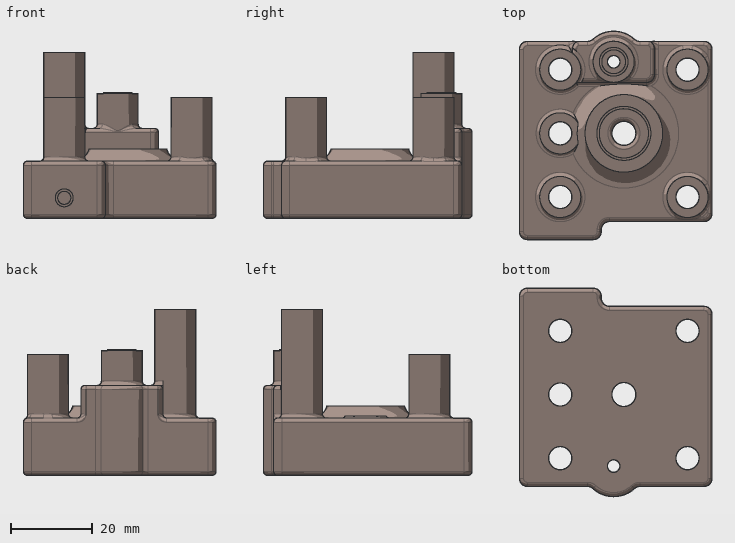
import cadquery as cq
import math

plate_left = -25.5
plate_right = 21.5
plate_front = -25.95
plate_back = 22.45
step_front = -plate_right
foot_right = -5.5
plate_top = 14.0
corner_radius = 2.0
edge_radius = 1.0

pillar_spacing = 31.05
pillar_offset = pillar_spacing / 2
pillar_diameter = 10.0
pillar_hole_diameter = 5.6
short_pillars = [
    (pillar_offset, pillar_offset),
    (pillar_offset, -pillar_offset),
    (-pillar_offset, -pillar_offset),
]
tall_pillar_xy = (-pillar_offset, pillar_offset)
low_seat_xy = (-pillar_offset, 0)
short_pillar_top = 29.5
tall_pillar_top = 40.5
low_seat_height = 0.5

hub_top = 17.0
hub_top_diameter = 18.9
hub_flare_radius = 4.0
hub_bore_diameter = 13.2
hub_bore_depth = 4.5
hub_inner_diameter = 12.0
hub_inner_depth = 7.65
hub_hole_diameter = 5.8

port_x = -2.5
port_y = 17.45
port_top = 30.4
port_lip_top = 30.7
port_lip_diameter = 7.0
port_bore_diameter = 5.8
port_bore_depth = 10.15
port_hole_diameter = 3.0
bulge_radius = 7.5
pad_top = 22.0
pad_right = 7.5
port_margin = 0.05
pad_front = port_y - pillar_diameter / 2 - port_margin
pad_left = -12.5
pad_overrun = 0.15

gallery_z = 5.05
gallery_mouth_diameter = 4.4
gallery_mouth_depth = 5.1
gallery_diameter = 3.2
gallery_depth = 6.6

tolerance = 0.0005


def block(left, right, front, back, bottom, top):
    """Axis-aligned block between the given limits."""
    return (
        cq.Workplane("XY", origin=(left, front, bottom))
        .box(right - left, back - front, top - bottom, centered=False)
    )


def cylinder(x, y, diameter, bottom, top):
    """Upright cylinder between two heights."""
    return (
        cq.Workplane("XY", origin=(x, y, bottom))
        .circle(diameter / 2)
        .extrude(top - bottom)
    )


def flared_foot(x, y, top_diameter, bottom, height, flare):
    """Round foot with a concave side of radius flare that runs out level into the floor."""
    radius = top_diameter / 2
    reach = math.sqrt(2 * flare * height - height ** 2)
    rim = radius + reach
    half_angle = math.asin(reach / flare) / 2
    mid = (rim - flare * math.sin(half_angle), bottom + flare * (1 - math.cos(half_angle)))
    root = bottom - edge_radius
    profile = (
        cq.Workplane("XZ", origin=(x, y, 0))
        .moveTo(0, root)
        .lineTo(rim, root)
        .lineTo(rim, bottom)
        .threePointArc(mid, (radius, bottom + height))
        .lineTo(0, bottom + height)
        .close()
    )
    return profile.revolve(360, (0, 0, 0), (0, 1, 0))


def bulge(top):
    """Round bulge on the back face, blended into it by concave fillets, from z = 0 to top."""
    blend_y = plate_back + corner_radius
    rise = blend_y - port_y
    reach = math.sqrt((bulge_radius + corner_radius) ** 2 - rise ** 2)
    share = bulge_radius / (bulge_radius + corner_radius)
    tangent_x = reach * share
    tangent_y = port_y + rise * share
    turn = math.atan2(reach, rise) / 2
    mid_x = reach - corner_radius * math.sin(turn)
    mid_y = blend_y - corner_radius * math.cos(turn)
    return (
        cq.Workplane("XY")
        .moveTo(port_x - reach, pad_front + corner_radius)
        .lineTo(port_x - reach, plate_back)
        .threePointArc((port_x - mid_x, mid_y), (port_x - tangent_x, tangent_y))
        .threePointArc((port_x, port_y + bulge_radius), (port_x + tangent_x, tangent_y))
        .threePointArc((port_x + mid_x, mid_y), (port_x + reach, plate_back))
        .lineTo(port_x + reach, pad_front + corner_radius)
        .close()
        .extrude(top)
    )


def plate_blank():
    """Stepped plate with rounded upright corners."""
    outline = [
        (plate_left, plate_front),
        (foot_right, plate_front),
        (foot_right, step_front),
        (plate_right, step_front),
        (plate_right, plate_back),
        (plate_left, plate_back),
    ]
    plate = cq.Workplane("XY").polyline(outline).close().extrude(plate_top)
    return plate.edges("|Z").fillet(corner_radius)


def pad_blank(bottom, top):
    """Pad block with rounded upright corners; the square front left one lies in the tall pillar.

    The corners are rounded slightly beyond the back face and trimmed there, so that they meet it
    at an angle and their foot can be filleted.
    """
    pad = block(pad_left, pad_right, pad_front, plate_back + pad_overrun, bottom, top)
    pad = pad.edges("|Z and (>X or >Y)").fillet(corner_radius)
    return pad.intersect(block(pad_left, pad_right, pad_front, plate_back, bottom, top))


def is_level(edge, *heights):
    """True when the edge lies flat at one of the given heights."""
    box = edge.BoundingBox()
    return box.zlen < tolerance and any(abs(box.zmin - z) < tolerance for z in heights)


def rolled_body():
    """Plate, pad and bulge with every level edge rolled and the foot of the pad filleted."""
    body = (
        plate_blank()
        .union(pad_blank(plate_top / 2, pad_top))
        .union(bulge(pad_top))
    )
    level = [e for e in body.edges().vals() if is_level(e, 0, plate_top, pad_top)]
    return body.newObject(level).fillet(edge_radius)


def add_pillar(body, x, y, floor, top):
    """Pillar on a flat floor, with a fillet that blends into any rolled edge it meets."""
    radius = pillar_diameter / 2
    body = body.union(cylinder(x, y, pillar_diameter, floor - edge_radius, top))

    def on_pillar(point):
        return abs(math.hypot(point.x - x, point.y - y) - radius) < tolerance

    root = [
        e for e in body.edges().vals()
        if is_level(e, floor) and on_pillar(e.startPoint()) and on_pillar(e.endPoint())
    ]
    return body.newObject(root).fillet(edge_radius)


result = rolled_body()
result = add_pillar(result, port_x, port_y, pad_top, port_top)
for x, y in short_pillars:
    result = add_pillar(result, x, y, plate_top, short_pillar_top)

tall_pillar = cylinder(*tall_pillar_xy, pillar_diameter, plate_top / 2, tall_pillar_top)
tall_pillar_foot = flared_foot(
    *tall_pillar_xy, pillar_diameter, plate_top, edge_radius, edge_radius
)
tall_pillar_blend = flared_foot(
    *tall_pillar_xy, pillar_diameter, pad_top, edge_radius, edge_radius
).intersect(pad_blank(plate_top, tall_pillar_top))

low_seat = flared_foot(*low_seat_xy, pillar_diameter, plate_top, low_seat_height, edge_radius)
hub = flared_foot(0, 0, hub_top_diameter, plate_top, hub_top - plate_top, hub_flare_radius)

port_lip = cylinder(port_x, port_y, port_lip_diameter, pad_top, port_lip_top)

for part in (
    tall_pillar,
    tall_pillar_foot,
    tall_pillar_blend,
    low_seat,
    hub,
    port_lip,
):
    result = result.union(part)

for x, y in short_pillars + [tall_pillar_xy, low_seat_xy]:
    result = result.cut(cylinder(x, y, pillar_hole_diameter, 0, tall_pillar_top))

hub_floor = hub_top - hub_inner_depth
hub_inner = cylinder(0, 0, hub_inner_diameter, hub_floor, hub_top)
hub_hole = cylinder(0, 0, hub_hole_diameter, 0, hub_floor)
result = result.cut(hub_inner).cut(hub_hole)
hub_mouth = [
    e for e in result.edges("%CIRCLE").vals()
    if is_level(e, hub_floor) and abs(e.radius() - hub_hole_diameter / 2) < tolerance
]
result = result.newObject(hub_mouth).fillet(edge_radius)
result = result.cut(cylinder(0, 0, hub_bore_diameter, hub_top - hub_bore_depth, hub_top))

port_bore = cylinder(port_x, port_y, port_bore_diameter, port_top - port_bore_depth, port_lip_top)
port_hole = cylinder(port_x, port_y, port_hole_diameter, 0, port_lip_top)
result = result.cut(port_bore).cut(port_hole)

for diameter, depth in (
    (gallery_mouth_diameter, gallery_mouth_depth),
    (gallery_diameter, gallery_depth),
):
    gallery = (
        cq.Workplane("XZ", origin=(-pillar_offset, plate_front, gallery_z))
        .circle(diameter / 2)
        .extrude(-depth)
    )
    result = result.cut(gallery)